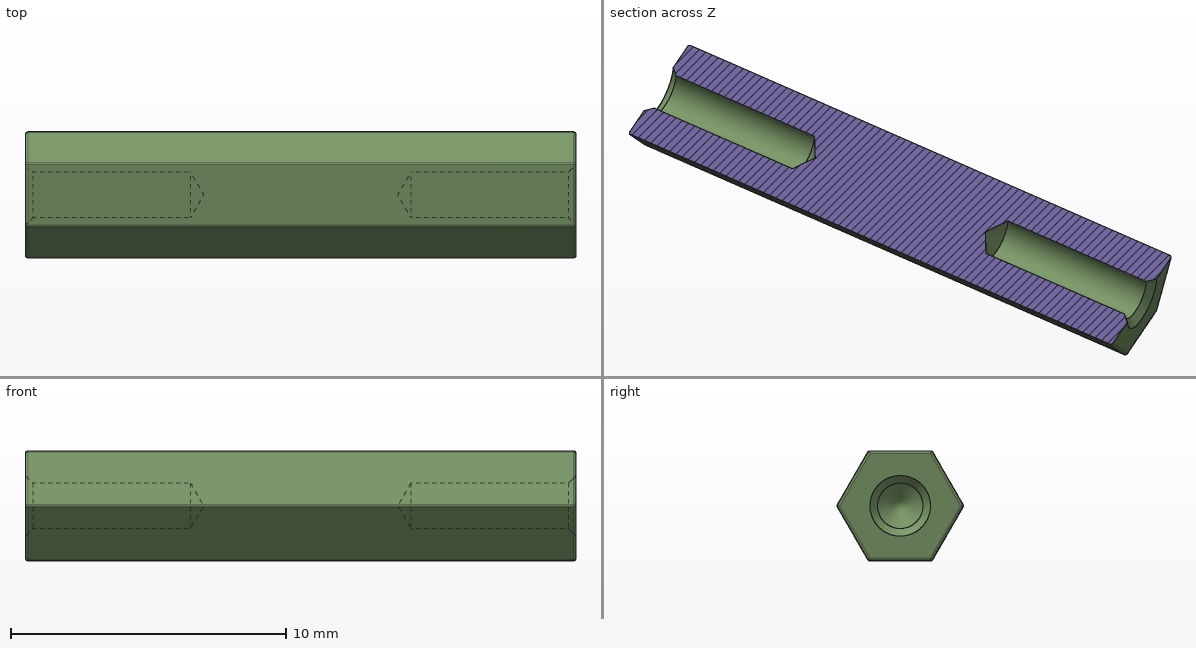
import cadquery as cq
import math

LENGTH = 20.0
ACROSS_FLATS = 4.0
SIDES = 6
EDGE_RADIUS = 0.1

HOLE_DIAMETER = 1.65
HOLE_DEPTH = 6.0
DRILL_POINT_ANGLE = 120.0
COUNTERSINK_DIAMETER = 2.2
COUNTERSINK_ANGLE = 90.0


def cone_height(radius_change, included_angle):
    """Axial length of a cone over which its radius changes by the given amount."""
    return radius_change / math.tan(math.radians(included_angle / 2))


def hex_bar():
    """Hexagonal bar centred on the origin, flats facing +Z and -Z, all edges rounded."""
    across_corners = ACROSS_FLATS / math.cos(math.pi / SIDES)
    bar = cq.Workplane("YZ").polygon(SIDES, across_corners).extrude(LENGTH / 2, both=True)
    return bar.edges().fillet(EDGE_RADIUS)


def blind_hole():
    """Countersunk drilled hole entering from the -X end, as a solid of revolution."""
    hole_radius = HOLE_DIAMETER / 2
    mouth_radius = COUNTERSINK_DIAMETER / 2
    mouth_x = -LENGTH / 2
    countersink_end_x = mouth_x + cone_height(mouth_radius - hole_radius, COUNTERSINK_ANGLE)
    bore_end_x = mouth_x + HOLE_DEPTH
    tip_x = bore_end_x + cone_height(hole_radius, DRILL_POINT_ANGLE)
    half_section = [
        (mouth_x, 0),
        (mouth_x, mouth_radius),
        (countersink_end_x, hole_radius),
        (bore_end_x, hole_radius),
        (tip_x, 0),
    ]
    return cq.Workplane("XY").polyline(half_section).close().revolve(360, (0, 0, 0), (1, 0, 0))


near_hole = blind_hole()
far_hole = near_hole.mirror("YZ")
result = hex_bar().cut(near_hole).cut(far_hole)